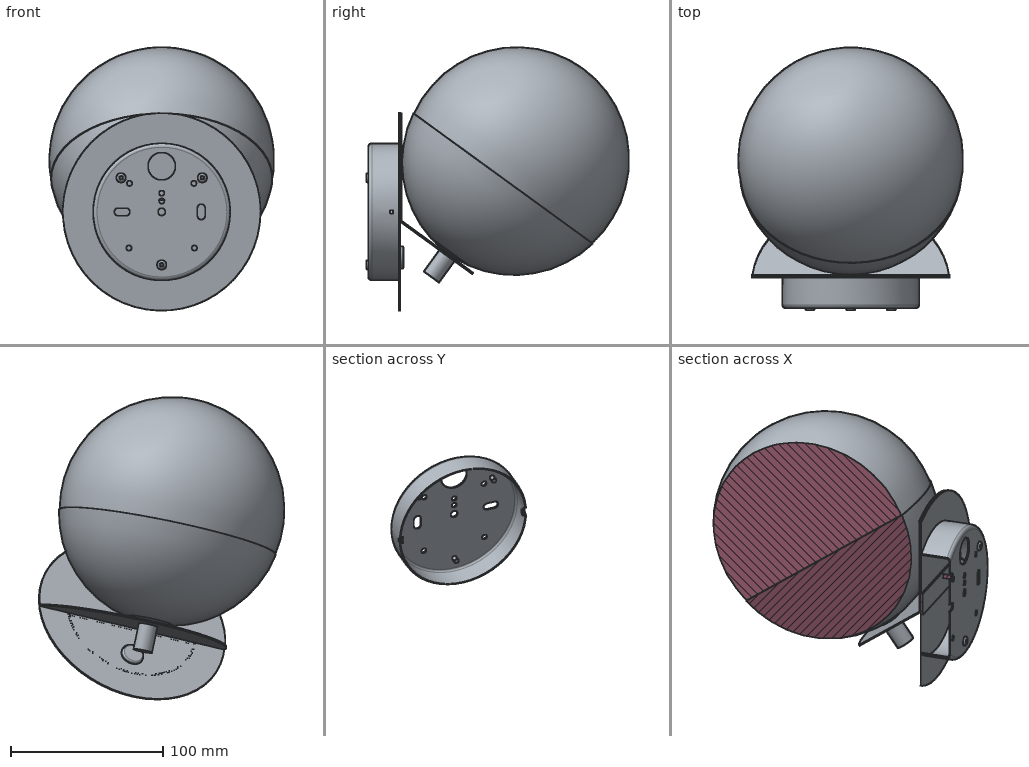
import cadquery as cq
import math


plate_radius = 65.0
plate_thickness = 0.9
bracket_thickness = 1.0
bend_z = -6.5
flap_tilt = 36.0

strap_length = 86.7
strap_width = 15.3
strap_thickness = 1.0
ear_pivot_depth = 4.7
ear_tip_radius = 1.7
ear_half_height = 4.5
ear_hole_radius = 1.4
notch_gap = 0.7
wall_pivot_radius = 1.0

housing_radius = 45.0
housing_depth = 20.1
housing_wall = 1.0
housing_round = 2.5
cable_hole_z = 30.0
cable_hole_radius = 9.0
small_hole_radius = 1.7
center_hole_radius = 2.5
small_hole_places = [
    (0, 12.3), (0, 7.1), (-21.1, 18.7), (21.1, 18.7), (-21.5, -23.8), (21.5, -23.8),
]
slot_offset = 26.0
slot_length = 10.2
slot_width = 5.0

screw_circle_radius = 34.8
screw_angles = [40, 140, 270]
screw_shank_radius = 1.5
screw_shank_length = 5.2
screw_head_radius = 3.1
screw_head_height = 1.4
screw_head_round = 1.3
socket_width = 1.9
socket_depth = 0.9

button_z = -30.0
button_radius = 7.5
button_height = 2.3
button_round = 1.0

globe_radius = 74.0
base_shift = 2.5
globe_y = 77.5
globe_z = 34.3
split_depth = 15.3
cap_radius = 15.6
stem_radius = 6.2
stem_end_depth = 95.3

cap_depth = base_shift + math.sqrt(globe_radius**2 - cap_radius**2)
tilt = math.radians(flap_tilt)
globe_center = cq.Vector(0, globe_y, globe_z)
globe_axis = cq.Vector(0, -math.sin(tilt), -math.cos(tilt))


def facing_wall(y):
    """Workplane across Y at the given Y; it extrudes towards -Y, with local y along Z."""
    return cq.Workplane("XZ", origin=(0, y, 0))


def across_globe(depth):
    """Workplane square to the globe's axis, the given distance from the globe's centre."""
    return cq.Workplane(cq.Plane(globe_center + globe_axis * depth, (-1, 0, 0), globe_axis))


def ear_prism(tip_radius, half_height, thickness):
    """Round-tipped triangle standing on the plate, extruded along X about X = 0."""
    reach = math.hypot(ear_pivot_depth, half_height)
    touch_angle = math.atan2(half_height, ear_pivot_depth) + math.acos(tip_radius / reach)
    touch_y = -ear_pivot_depth + tip_radius * math.cos(touch_angle)
    touch_z = tip_radius * math.sin(touch_angle)
    return (
        cq.Workplane("YZ")
        .moveTo(0, half_height)
        .lineTo(touch_y, touch_z)
        .threePointArc((-ear_pivot_depth - tip_radius, 0), (touch_y, -touch_z))
        .lineTo(0, -half_height)
        .close()
        .extrude(thickness / 2, both=True)
    )


def make_plate():
    plate = facing_wall(plate_thickness).circle(plate_radius).extrude(plate_thickness)
    strap = facing_wall(0).rect(strap_length, strap_width).extrude(strap_thickness)
    pivot_hole = (
        cq.Workplane("YZ")
        .center(-ear_pivot_depth, 0)
        .circle(ear_hole_radius)
        .extrude(strap_thickness, both=True)
    )
    ear = ear_prism(ear_tip_radius, ear_half_height, strap_thickness).cut(pivot_hole)
    ear_x = (strap_length - strap_thickness) / 2
    plate = plate.union(strap)
    for side in (-1, 1):
        plate = plate.union(ear.translate((side * ear_x, 0, 0)))
    return plate


def make_bracket():
    """A disc folded along a level line, with its lower part swung out from the wall."""
    disc = facing_wall(plate_thickness + bracket_thickness).circle(plate_radius).extrude(bracket_thickness)
    above_bend = (
        cq.Workplane("XY", origin=(0, 0, bend_z))
        .rect(4 * plate_radius, 4 * plate_radius)
        .extrude(2 * plate_radius)
    )
    leaf = disc.intersect(above_bend)
    flap = disc.cut(above_bend)
    bend_start = (0, plate_thickness, bend_z)
    bend_end = (1, plate_thickness, bend_z)
    flap = flap.rotate(bend_start, bend_end, 90 - flap_tilt)
    stem_hole = across_globe(0).circle(stem_radius).extrude(stem_end_depth)
    return leaf.union(flap).cut(stem_hole)


def screw_places():
    return [
        (
            screw_circle_radius * math.cos(math.radians(angle)),
            screw_circle_radius * math.sin(math.radians(angle)),
        )
        for angle in screw_angles
    ]


def make_housing():
    cup = (
        facing_wall(0)
        .circle(housing_radius)
        .extrude(housing_depth)
        .faces("<Y")
        .edges()
        .fillet(housing_round)
    )
    hollow = (
        facing_wall(0)
        .circle(housing_radius - housing_wall)
        .extrude(housing_depth - housing_wall)
        .faces("<Y")
        .edges()
        .fillet(housing_round - housing_wall)
    )
    holes = (
        facing_wall(0)
        .pushPoints(small_hole_places)
        .circle(small_hole_radius)
        .extrude(housing_depth)
        .union(facing_wall(0).circle(center_hole_radius).extrude(housing_depth))
        .union(facing_wall(0).center(0, cable_hole_z).circle(cable_hole_radius).extrude(housing_depth))
        .union(facing_wall(0).pushPoints(screw_places()).circle(screw_shank_radius).extrude(housing_depth))
    )
    for x, angle in ((-slot_offset, 0), (slot_offset, 90)):
        slot = facing_wall(0).center(x, 0).slot2D(slot_length, slot_width, angle).extrude(housing_depth)
        holes = holes.union(slot)
    ear_notch = ear_prism(ear_tip_radius + notch_gap, ear_half_height + notch_gap, housing_radius)
    ear_notch = ear_notch.translate((-housing_radius, 0, 0))
    wall_pivot_hole = (
        cq.Workplane("YZ")
        .center(-ear_pivot_depth, 0)
        .circle(wall_pivot_radius)
        .extrude(housing_radius)
    )
    return cup.cut(hollow).cut(holes).cut(ear_notch).cut(wall_pivot_hole)


def make_screw(x, z):
    head = (
        facing_wall(-housing_depth)
        .circle(screw_head_radius)
        .extrude(screw_head_height)
        .faces("<Y")
        .edges()
        .fillet(screw_head_round)
    )
    socket = (
        facing_wall(-housing_depth - screw_head_height + socket_depth)
        .polygon(6, socket_width, circumscribed=True)
        .extrude(socket_depth)
    )
    shank = facing_wall(-housing_depth + screw_shank_length).circle(screw_shank_radius).extrude(screw_shank_length)
    return head.cut(socket).union(shank).translate((x, 0, z))


def make_button():
    return (
        facing_wall(plate_thickness + button_height)
        .center(0, button_z)
        .circle(button_radius)
        .extrude(button_height)
        .faces(">Y")
        .edges()
        .fillet(button_round)
    )


def globe_slice(ball_depth, start_depth, end_depth):
    """The part of a ball between two planes square to the globe's axis."""
    slab = across_globe(start_depth).circle(2 * globe_radius).extrude(end_depth - start_depth)
    return across_globe(ball_depth).sphere(globe_radius).intersect(slab)


def make_holder():
    """Cap that closes the foot of the globe, with a stem through the flap."""
    cap = globe_slice(base_shift, cap_depth, 2 * globe_radius)
    stem = across_globe(cap_depth).circle(stem_radius).extrude(stem_end_depth - cap_depth)
    return cap.union(stem)


plate = make_plate()
bracket = make_bracket()
housing = make_housing()
screws = [make_screw(x, z).val() for x, z in screw_places()]
button = make_button()
shade = globe_slice(0, -2 * globe_radius, split_depth)
base = globe_slice(base_shift, split_depth, cap_depth)
holder = make_holder()

result = cq.Compound.makeCompound(
    [
        plate.val(),
        bracket.val(),
        housing.val(),
        *screws,
        button.val(),
        shade.val(),
        base.val(),
        holder.val(),
    ]
)